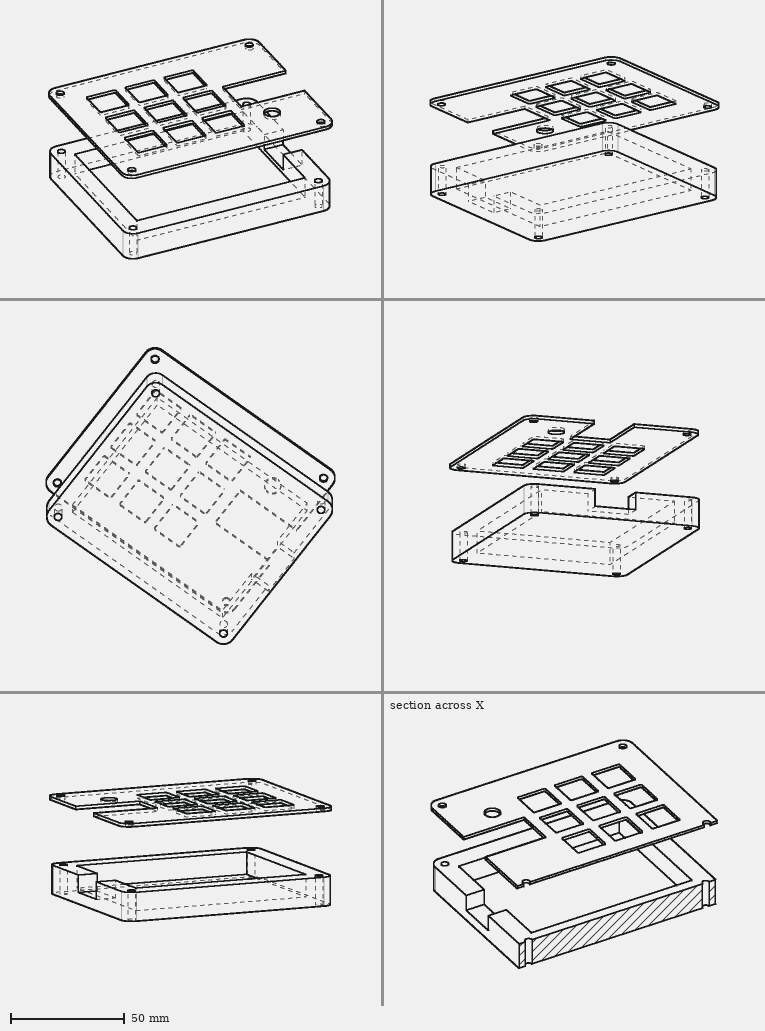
import cadquery as cq

TOTAL_X = 82.69
TOTAL_Z = 43.75
CORNER_RADIUS = 5.0

CASE_X = 82.0
CASE_Y = 101.0
CASE_Z = 13.0
CASE_HOLE_DIAMETER = 3.3
FLOOR = 3.0
POCKET_X = 62.5
POCKET_Y = 82.5
POCKET_LEFT = (CASE_X - POCKET_X) / 2
POCKET_FRONT = (CASE_Y - POCKET_Y) / 2
SLOT_LEFT = 31.3
SLOT_X = 19.0
SLOT_Z = 7.8

PLATE_X = 82.0
PLATE_Y = 102.76
PLATE_Z = 1.5
PLATE_HOLE_DIAMETER = 3.4
PLATE_LEFT = TOTAL_X - PLATE_X
PLATE_FRONT = (CASE_Y - PLATE_Y) / 2
PLATE_BOTTOM = TOTAL_Z - PLATE_Z

KEY_COUNT = 3
KEY_SIZE = 14.2
KEY_PITCH = 19.05
KEY_CORNER_RADIUS = 0.5
FIRST_KEY_X = 20.3
FIRST_KEY_Y = 20.9
KNOB_DIAMETER = 7.2
KNOB_X = 60.6
KNOB_Y = 81.85
NOTCH_LEFT = 31.6
NOTCH_X = 18.7
NOTCH_Y = 31.0


def block(x, y, z, corner=(0, 0, 0)):
    """Box with its lower front-left corner at the given point."""
    return cq.Workplane("XY").box(x, y, z, centered=False).translate(corner)


def drilled_slab(x, y, z, hole_diameter):
    """Round-cornered slab with a through hole at the centre of each corner."""
    slab = block(x, y, z).edges("|Z").fillet(CORNER_RADIUS)
    holes = (
        cq.Workplane("XY")
        .center(x / 2, y / 2)
        .rect(x - 2 * CORNER_RADIUS, y - 2 * CORNER_RADIUS, forConstruction=True)
        .vertices()
        .circle(hole_diameter / 2)
        .extrude(z)
    )
    return slab.cut(holes)


def make_case():
    """Tray with a rectangular pocket and a cable slot through the back wall."""
    pocket_back = POCKET_FRONT + POCKET_Y
    pocket = block(POCKET_X, POCKET_Y, CASE_Z - FLOOR, (POCKET_LEFT, POCKET_FRONT, FLOOR))
    slot = block(SLOT_X, CASE_Y - pocket_back, SLOT_Z, (SLOT_LEFT, pocket_back, CASE_Z - SLOT_Z))
    return drilled_slab(CASE_X, CASE_Y, CASE_Z, CASE_HOLE_DIAMETER).cut(pocket).cut(slot)


def make_key_openings():
    """Grid of square key openings with small corner rounds."""
    half_span = KEY_PITCH * (KEY_COUNT - 1) / 2
    return (
        cq.Workplane("XY")
        .center(FIRST_KEY_X + half_span, FIRST_KEY_Y + half_span)
        .rarray(KEY_PITCH, KEY_PITCH, KEY_COUNT, KEY_COUNT)
        .rect(KEY_SIZE, KEY_SIZE)
        .extrude(PLATE_Z)
        .edges("|Z")
        .fillet(KEY_CORNER_RADIUS)
    )


def make_plate():
    """Thin cover with key openings, a knob hole and a notch in the back edge."""
    knob_hole = cq.Workplane("XY").center(KNOB_X, KNOB_Y).circle(KNOB_DIAMETER / 2).extrude(PLATE_Z)
    notch = block(NOTCH_X, NOTCH_Y, PLATE_Z, (NOTCH_LEFT, PLATE_Y - NOTCH_Y, 0))
    return (
        drilled_slab(PLATE_X, PLATE_Y, PLATE_Z, PLATE_HOLE_DIAMETER)
        .cut(make_key_openings())
        .cut(knob_hole)
        .cut(notch)
        .translate((PLATE_LEFT, PLATE_FRONT, PLATE_BOTTOM))
    )


case = make_case()
plate = make_plate()

result = cq.Compound.makeCompound([case.val(), plate.val()])